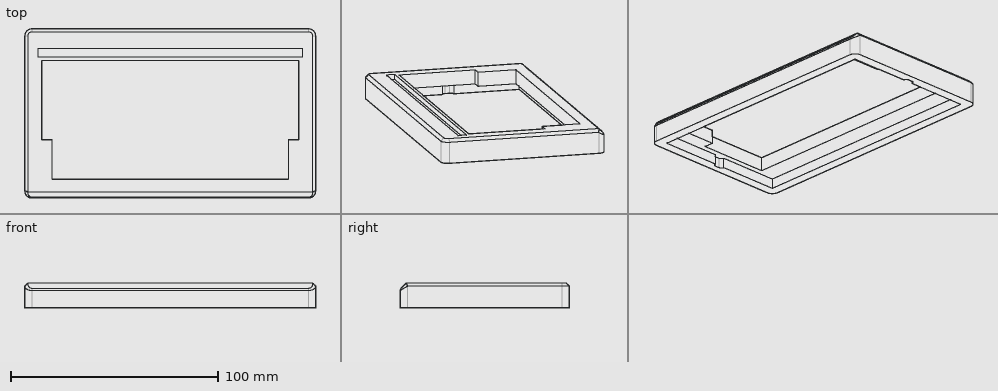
import cadquery as cq
import math

LENGTH = 140.5
WIDTH = 81.8
HEIGHT = 12.0
CORNER_RADIUS = 3.5
EDGE_CHAMFER = 1.5

SLOPE_SETBACK = 3.0
SLOPE = math.radians(45)

WINDOW_LENGTH = 124.0
WINDOW_BACK_Y = 25.5
WINDOW_FRONT_Y = -31.7
STEP_LENGTH = 5.0
STEP_WIDTH = 19.0

SLOT_LENGTH = 127.6
SLOT_WIDTH = 4.2
SLOT_DEPTH = 2.5
SLOT_CENTER_Y = 29.3

RECESS_DEPTH = 5.0
RIM_THICKNESS = 5.25

NOTCH_WIDTH = 3.2
NOTCH_LENGTH = 5.6
NOTCH_CENTER_Y = 0.0

HALF_LENGTH = LENGTH / 2
FRONT_Y = -WIDTH / 2


def frame_blank():
    """Rounded block with an even chamfer around its top edge."""
    block = cq.Workplane("XY").rect(LENGTH, WIDTH).extrude(HEIGHT)
    block = block.edges("|Z").fillet(CORNER_RADIUS)
    return block.faces(">Z").chamfer(EDGE_CHAMFER)


def slope_plane(x, y, z):
    """Plane of the front slope: local X along the frame, local Y up the slope."""
    normal = (0, -math.sin(SLOPE), math.cos(SLOPE))
    return cq.Plane(origin=(x, y, z), xDir=(1, 0, 0), normal=normal)


def front_slope():
    """Material removed above the front slope and the narrow bevel below it."""
    slope_bottom_z = HEIGHT - SLOPE_SETBACK * math.tan(SLOPE)
    bevel_leg = EDGE_CHAMFER * math.tan((math.pi / 2 - SLOPE) / 2)
    bevel_bottom = (FRONT_Y, slope_bottom_z - bevel_leg)
    bevel_top = (
        FRONT_Y + bevel_leg * math.cos(SLOPE),
        slope_bottom_z + bevel_leg * math.sin(SLOPE),
    )
    slope_top = (FRONT_Y + SLOPE_SETBACK, HEIGHT)
    return (
        cq.Workplane("YZ")
        .polyline([bevel_bottom, bevel_top, slope_top, (FRONT_Y, HEIGHT)])
        .close()
        .extrude(HALF_LENGTH, both=True)
    )


def corner_bevel(side):
    """Material removed at one front corner (side -1 or 1) to carry the bevel round it.

    The bevel joins the two curves along which a rolling ball would touch the
    slope and the corner cylinder. Each of these curves is part of an ellipse.
    """
    ball = EDGE_CHAMFER
    axis_x = side * (HALF_LENGTH - CORNER_RADIUS)
    axis_y = FRONT_Y + CORNER_RADIUS
    inner_radius = CORNER_RADIUS - ball
    slope_z = HEIGHT + (CORNER_RADIUS - SLOPE_SETBACK) * math.tan(SLOPE)
    ball_z = slope_z - ball / math.cos(SLOPE)

    lower_tilt = math.atan(math.tan(SLOPE) * inner_radius / CORNER_RADIUS)
    lower_plane = cq.Plane(
        origin=(axis_x, axis_y, ball_z),
        xDir=(1, 0, 0),
        normal=(0, -math.sin(lower_tilt), math.cos(lower_tilt)),
    )
    upper_plane = slope_plane(
        axis_x,
        axis_y - ball * math.sin(SLOPE),
        ball_z + ball * math.cos(SLOPE),
    )
    lower = cq.Workplane(lower_plane).ellipse(CORNER_RADIUS, CORNER_RADIUS / math.cos(lower_tilt))
    upper = cq.Workplane(upper_plane).ellipse(inner_radius, inner_radius / math.cos(SLOPE))
    kept_core = cq.Solid.makeLoft([lower.val(), upper.val()], True)

    span = 3 * CORNER_RADIUS
    front_quarter = cq.Workplane(upper_plane).center(side * span / 2, -span / 2)
    front_quarter = front_quarter.rect(span, span).extrude(-span)
    below_bevel = cq.Workplane(lower_plane).rect(3 * span, 3 * span).extrude(-3 * span)
    round_part = front_quarter.cut(below_bevel).cut(cq.Workplane(kept_core))

    straight_part = (
        cq.Workplane(cq.Plane(upper_plane.origin, xDir=(side, 0, 0), normal=upper_plane.yDir))
        .polyline([(inner_radius, 0), (CORNER_RADIUS, 0), (CORNER_RADIUS, side * ball)])
        .close()
        .extrude(CORNER_RADIUS)
    )
    return round_part.union(straight_part)


def window():
    """Through window, narrower at the front than at the back."""
    back_x = WINDOW_LENGTH / 2
    front_x = back_x - STEP_LENGTH
    step_y = WINDOW_FRONT_Y + STEP_WIDTH
    right_side = [
        (front_x, WINDOW_FRONT_Y),
        (front_x, step_y),
        (back_x, step_y),
        (back_x, WINDOW_BACK_Y),
    ]
    left_side = [(-x, y) for x, y in reversed(right_side)]
    return cq.Workplane("XY").polyline(right_side + left_side).close().extrude(HEIGHT)


def top_slot():
    """Shallow straight slot cut down from the top face."""
    return (
        cq.Workplane("XY", origin=(0, SLOT_CENTER_Y, HEIGHT))
        .rect(SLOT_LENGTH, SLOT_WIDTH)
        .extrude(-SLOT_DEPTH)
    )


def underside_recess():
    """Rectangular recess with a round-ended notch in each end wall."""
    recess_length = LENGTH - 2 * RIM_THICKNESS
    recess_width = WIDTH - 2 * RIM_THICKNESS
    recess = cq.Workplane("XY").rect(recess_length, recess_width).extrude(RECESS_DEPTH)
    notches = (
        cq.Workplane("XY")
        .pushPoints([(side * recess_length / 2, NOTCH_CENTER_Y) for side in (-1, 1)])
        .slot2D(NOTCH_LENGTH, NOTCH_WIDTH, 90)
        .extrude(RECESS_DEPTH)
    )
    return recess.union(notches)


result = (
    frame_blank()
    .cut(front_slope())
    .cut(corner_bevel(-1))
    .cut(corner_bevel(1))
    .cut(window())
    .cut(top_slot())
    .cut(underside_recess())
)